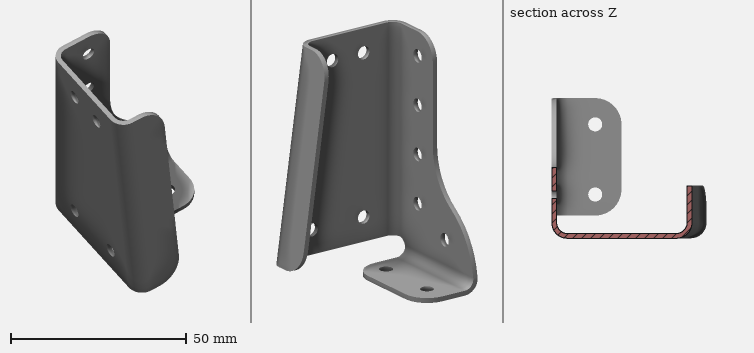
import cadquery as cq
import math

thickness = 1.5
bend_radius = 4.5
inner_radius = bend_radius - thickness
joining_leg = 2 * bend_radius
corner_radius = 7.5
relief_radius = 3.0
hole_diameter = 4.0

height = 71.5
plate_bottom = 6.5
plate_top_width = 35.0
side_taper = 1 / 7
right_flange_depth = 15.0
left_flange_depth = 20.0
base_depth = 40.0
base_width = 20.0
base_front = plate_bottom

plate_height = height - plate_bottom
plate_bottom_width = plate_top_width + side_taper * plate_height
taper_angle = math.atan(side_taper)

hollow_radius = 20.0
hollow_center_y = left_flange_depth + hollow_radius
round_radius = 25.0
round_center_y = base_depth - round_radius
round_center_z = thickness
arc_distance = hollow_radius + round_radius
center_offset_y = hollow_center_y - round_center_y
center_offset_z = math.sqrt(arc_distance**2 - center_offset_y**2)
hollow_center_z = round_center_z + center_offset_z

hole_inset = 12.5
upper_hole_z = height - corner_radius
plate_lower_hole_z = plate_bottom + corner_radius
left_hole_count = 4
left_hole_pitch = 15.0
rear_hole_y = 25.75
rear_hole_z = 12.0
base_hole_margin = corner_radius

diagonal = math.sqrt(0.5)


def bent_angle(plane, leg_u, leg_v, length):
    """L-section with a rounded bend; its sharp outer corner is the origin of the plane."""
    outer_middle = bend_radius * (1 - diagonal)
    inner_middle = bend_radius - inner_radius * diagonal
    return (
        cq.Workplane(plane)
        .moveTo(leg_u, 0)
        .lineTo(bend_radius, 0)
        .threePointArc((outer_middle, outer_middle), (0, bend_radius))
        .lineTo(0, leg_v)
        .lineTo(thickness, leg_v)
        .lineTo(thickness, bend_radius)
        .threePointArc((inner_middle, inner_middle), (bend_radius, thickness))
        .lineTo(leg_u, thickness)
        .close()
        .extrude(length)
    )


def left_silhouette():
    """Prism along X with the side outline of the left flange and its two bends."""
    tangent_share = hollow_radius / arc_distance
    tangent_y = hollow_center_y - center_offset_y * tangent_share
    tangent_z = hollow_center_z - center_offset_z * tangent_share
    half_angle = math.atan2(center_offset_z, center_offset_y) / 2
    hollow_middle = (
        hollow_center_y - hollow_radius * math.cos(half_angle),
        hollow_center_z - hollow_radius * math.sin(half_angle),
    )
    round_middle = (
        round_center_y + round_radius * math.cos(half_angle),
        round_center_z + round_radius * math.sin(half_angle),
    )
    relief_center_y = base_front - relief_radius
    relief_center_z = plate_bottom - relief_radius
    relief_middle = (
        relief_center_y + relief_radius * diagonal,
        relief_center_z + relief_radius * diagonal,
    )
    corner_start = left_flange_depth - corner_radius
    corner_middle = (
        corner_start + corner_radius * diagonal,
        height - corner_radius * (1 - diagonal),
    )
    return (
        cq.Workplane("YZ")
        .moveTo(base_front, 0)
        .lineTo(base_depth, 0)
        .lineTo(base_depth, round_center_z)
        .threePointArc(round_middle, (tangent_y, tangent_z))
        .threePointArc(hollow_middle, (left_flange_depth, hollow_center_z))
        .lineTo(left_flange_depth, height - corner_radius)
        .threePointArc(corner_middle, (corner_start, height))
        .lineTo(0, height)
        .lineTo(0, plate_bottom)
        .lineTo(relief_center_y, plate_bottom)
        .threePointArc(relief_middle, (base_front, relief_center_z))
        .close()
        .extrude(base_width)
    )


def left_and_bottom_flanges():
    """Two bent angles sharing the left wall, trimmed to its side outline."""
    upright_plane = cq.Plane(origin=(0, 0, bend_radius))
    upright = bent_angle(upright_plane, joining_leg, base_depth, height - bend_radius)
    foot_plane = cq.Plane.named("XZ", origin=(0, base_depth, 0))
    foot = bent_angle(foot_plane, base_width, joining_leg, base_depth - bend_radius)
    flanges = upright.union(foot).intersect(left_silhouette())
    return flanges.edges("|Z").edges(">X").fillet(corner_radius)


def front_plate():
    edge_inset = bend_radius / math.cos(taper_angle)
    return (
        cq.Workplane("XZ")
        .polyline([
            (bend_radius, plate_bottom),
            (plate_bottom_width - edge_inset, plate_bottom),
            (plate_top_width - edge_inset, height),
            (bend_radius, height),
        ])
        .close()
        .extrude(-thickness)
    )


def right_flange():
    """Flange folded along the tapered edge, trimmed level with the top and bottom of the plate."""
    overrun = bend_radius
    sine = math.sin(taper_angle)
    cosine = math.cos(taper_angle)
    plane = cq.Plane(
        origin=(plate_top_width - side_taper * overrun, 0, height + overrun),
        xDir=(-cosine, 0, -sine),
        normal=(sine, 0, -cosine),
    )
    fold_length = (plate_height + 2 * overrun) / cosine
    flange = bent_angle(plane, joining_leg, right_flange_depth, fold_length)
    trim = (
        cq.Workplane("YZ")
        .rect(right_flange_depth, plate_height)
        .extrude(plate_bottom_width)
        .edges("|X and >Y")
        .fillet(corner_radius)
        .translate((0, right_flange_depth / 2, plate_bottom + plate_height / 2))
    )
    return flange.intersect(trim)


def drill(plane, points, depth):
    """Hole cutters that start on an outer face and run through the sheet."""
    return cq.Workplane(plane).pushPoints(points).circle(hole_diameter / 2).extrude(depth)


def plate_holes():
    points = []
    for z in (plate_lower_hole_z, upper_hole_z):
        right_edge = plate_top_width + side_taper * (height - z)
        points.append((hole_inset, z))
        points.append((right_edge - hole_inset / math.cos(taper_angle), z))
    return drill("XZ", points, -thickness)


def left_flange_holes():
    points = [(hole_inset, upper_hole_z - row * left_hole_pitch) for row in range(left_hole_count)]
    points.append((rear_hole_y, rear_hole_z))
    return drill("YZ", points, thickness)


def base_holes():
    points = [(hole_inset, hole_inset), (hole_inset, base_depth - base_hole_margin)]
    return drill("XY", points, thickness)


bracket = left_and_bottom_flanges().union(front_plate()).union(right_flange())
result = bracket.cut(plate_holes()).cut(left_flange_holes()).cut(base_holes())